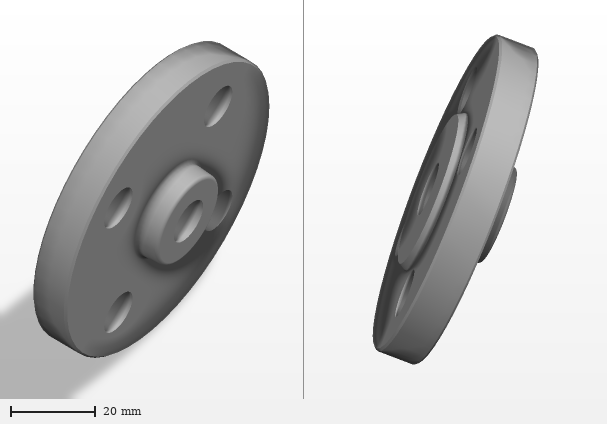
import cadquery as cq
import math

disc_diameter = 80
disc_thickness = 10.0
disc_chamfer = 0.6

face_base_diameter = 40
face_height = 2.0
face_rim_angle = 30

overall_length = 18.0
hub_root_diameter = 25.0
hub_end_diameter = 24.2
hub_root_fillet = 1.0
hub_end_fillet = 1.0

bore_diameter = 11.4
bore_chamfer = 1.0

bolt_hole_count = 4
bolt_hole_diameter = 11.0
bolt_hole_chamfer = 0.5
bolt_circle_diameter = 55.0

disc_front = face_height
disc_back = disc_front + disc_thickness
hub_length = overall_length - disc_back


def cone(start_x, length, start_radius, end_radius):
    """Solid cone frustum on the X axis, running toward +X."""
    return cq.Workplane(cq.Solid.makeCone(
        start_radius, end_radius, length, cq.Vector(start_x, 0, 0), cq.Vector(1, 0, 0)
    ))


def chamfered_hole(start_x, diameter, chamfer):
    """Cutter running toward +X from start_x, with a 45 degree chamfer at its mouth."""
    radius = diameter / 2
    drill = cq.Workplane("YZ", origin=(start_x, 0, 0)).circle(radius).extrude(overall_length)
    return drill.union(cone(start_x, chamfer, radius + chamfer, radius))


def make_disc():
    disc = cq.Workplane("YZ", origin=(disc_front, 0, 0)).circle(disc_diameter / 2).extrude(disc_thickness)
    return disc.edges().chamfer(disc_chamfer)


def make_raised_face():
    base_radius = face_base_diameter / 2
    rim_width = face_height * math.tan(math.radians(face_rim_angle))
    return cone(0, face_height, base_radius - rim_width, base_radius)


def make_hub():
    hub = cone(disc_back, hub_length, hub_root_diameter / 2, hub_end_diameter / 2)
    return hub.faces(">X").edges().fillet(hub_end_fillet)


body = make_disc().union(make_raised_face()).union(make_hub())

hub_root_edge = cq.selectors.BoxSelector(
    (disc_back - hub_root_fillet, -hub_root_diameter, -hub_root_diameter),
    (disc_back + hub_root_fillet, hub_root_diameter, hub_root_diameter),
    boundingbox=True,
)
body = body.edges(hub_root_edge).edges("%CIRCLE").fillet(hub_root_fillet)

body = body.cut(chamfered_hole(0, bore_diameter, bore_chamfer))

bolt_hole = chamfered_hole(disc_front, bolt_hole_diameter, bolt_hole_chamfer).translate(
    (0, bolt_circle_diameter / 2, 0)
)
bolt_spacing = 360 / bolt_hole_count
for index in range(bolt_hole_count):
    angle = (index + 0.5) * bolt_spacing
    body = body.cut(bolt_hole.rotate((0, 0, 0), (1, 0, 0), angle))

result = body